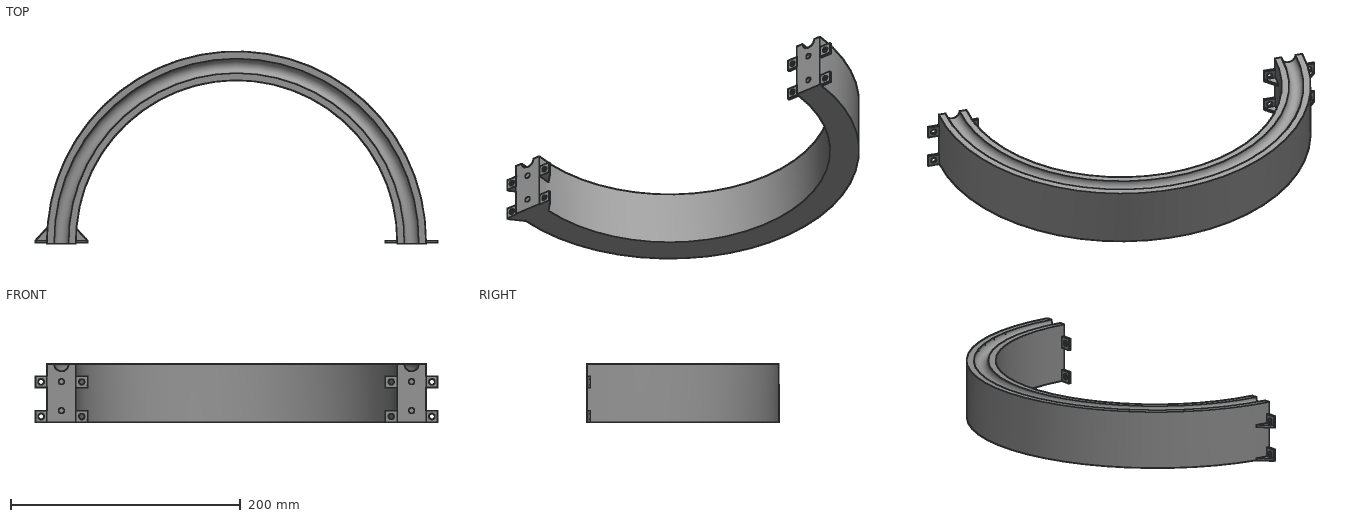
import cadquery as cq

outer_radius = 165.0
inner_radius = 140.0
height = 51.0
leg_extension = 2.5
mid_radius = (outer_radius + inner_radius) / 2
end_face_y = -leg_extension

groove_radius = 6.3

overall_length = 350.5
tab_reach = overall_length / 2 - outer_radius
tab_height = 10.0
tab_thickness = 2.0
tab_setback = 0.7
tab_front_y = end_face_y + tab_setback
tab_levels = (0.0, 30.0)
tab_hole_diameter = 5.0

gusset_thickness = 2.0
gusset_depth = 11.0
root_overlap = 2.0

pin_diameter = 5.0
pin_length = 10.5
pin_levels = (10.0, 35.5)


def ring_blank():
    """Full ring before it is cut off to an arch."""
    return cq.Workplane("XY").circle(outer_radius).circle(inner_radius).extrude(height)


def groove_cutter():
    """Torus along the middle of the ring, centred on the top face."""
    return cq.Workplane("XY").add(
        cq.Solid.makeTorus(mid_radius, groove_radius, cq.Vector(0, 0, height), cq.Vector(0, 0, 1))
    )


def arch_side():
    """Block that covers everything behind the end faces."""
    return cq.Workplane("XY", origin=(0, end_face_y, 0)).box(
        2 * outer_radius, outer_radius + leg_extension, height, centered=(True, False, False)
    )


def round_bars(x, front_y, levels, diameter, length):
    """Bars running from front_y towards +Y, one at each level."""
    return (
        cq.Workplane("XZ", origin=(0, front_y, 0))
        .pushPoints([(x, z) for z in levels])
        .circle(diameter / 2)
        .extrude(-length)
    )


def tab(root_x, outward, bottom):
    """Square tab with a screw hole, pointing along X in the outward direction."""
    center_x = root_x + outward * (tab_reach - root_overlap) / 2
    plate = cq.Workplane("XY").box(
        tab_reach + root_overlap, tab_thickness, tab_height, centered=(True, False, False)
    ).translate((center_x, tab_front_y, bottom))
    hole_x = root_x + outward * tab_reach / 2
    hole = round_bars(
        hole_x, tab_front_y, [bottom + tab_height / 2], tab_hole_diameter, tab_thickness
    )
    return plate.cut(hole)


def gusset(root_x, outward, bottom):
    """Sloping shelf that braces a tab against the side of the leg."""
    tip_x = root_x + outward * tab_reach
    buried_x = root_x - outward * root_overlap
    back_y = tab_front_y + tab_thickness
    return (
        cq.Workplane("XY", origin=(0, 0, bottom))
        .polyline([
            (buried_x, back_y),
            (tip_x, back_y),
            (root_x, back_y + gusset_depth),
            (buried_x, back_y + gusset_depth),
        ])
        .close()
        .extrude(gusset_thickness)
    )


def make_arch():
    arch = ring_blank().cut(groove_cutter()).intersect(arch_side())
    for side in (-1, 1):
        for root_radius, outward in ((outer_radius, side), (inner_radius, -side)):
            for bottom in tab_levels:
                arch = arch.union(tab(side * root_radius, outward, bottom))
                if side < 0:
                    arch = arch.union(gusset(side * root_radius, outward, bottom))
        arch = arch.cut(
            round_bars(side * mid_radius, end_face_y, pin_levels, pin_diameter, pin_length)
        )
    return arch


def make_pin(level):
    """Dowel pin seated flush in the end face of the left leg."""
    return round_bars(-mid_radius, end_face_y, [level], pin_diameter, pin_length)


arch = make_arch()
pins = [make_pin(level).val() for level in pin_levels]

result = cq.Compound.makeCompound([arch.val(), *pins])